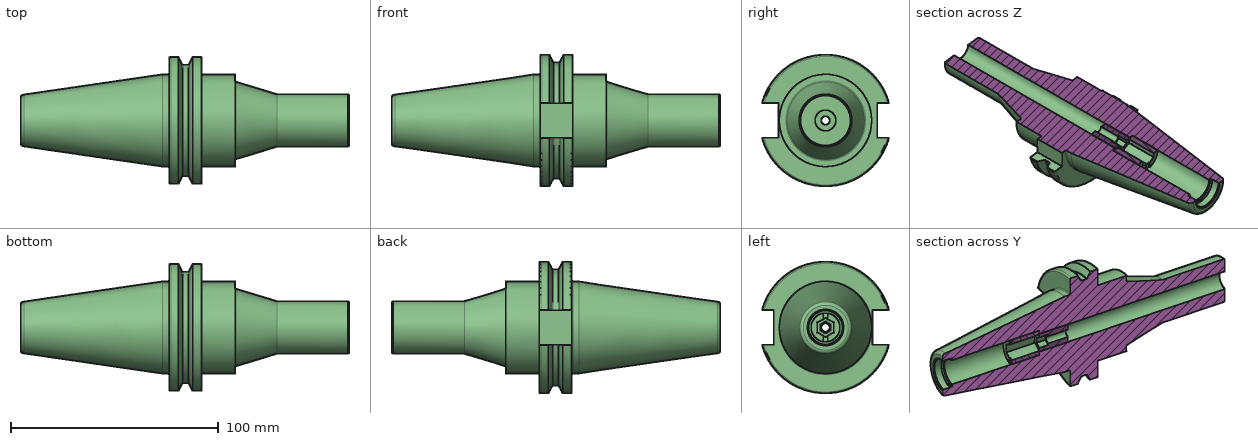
import cadquery as cq
import math


gauge_radius = 44.45 / 2
taper_length = 68.25
taper_on_diameter = 7 / 24
taper_end_radius = gauge_radius - taper_on_diameter * taper_length / 2
taper_end_fillet = 1.7

flange_radius = 63.5 / 2
flange_start = 3.175
flange_end = 19.05
flange_fillet = 0.8
neck_fillet = 0.4
groove_centre = (flange_start + flange_end) / 2
groove_bottom_radius = 56.25 / 2
groove_bottom_width = 3.16
groove_top_width = 6.86
groove_root_fillet = 0.4

slot_width = 16.6
slot_edge_chamfer = 0.3
slot_floor_front = 22.7
slot_floor_back = 25.0

collar_end = 35.0
cone_start_radius = 18.8
cone_root_fillet = 0.5
cone_end = 55.0
nose_radius = 25.4 / 2
nose_end = 90.0
nose_chamfer = 0.7

mouth_radius = 17.5 / 2
pilot_radius = 16.5 / 2
pilot_depth = 4.2
step_radius = 16.28 / 2
step_depth = 5.3
thread_radius = 13.9 / 2

lock_radius = thread_radius
lock_start = -30.0
lock_length = 16.0
lock_hex = 8.0
lock_slot_width = 2.4
lock_slot_depth = 0.5

stop_radius = 10.0 / 2
stop_length = 16.0
stop_hex = 5.0
stop_hex_depth = 5.0
coolant_radius = 4.0 / 2

lock_end = lock_start + lock_length
stop_start = lock_end
stop_end = stop_start + stop_length

edge_match_tolerance = 0.001


def revolve_about_x(profile):
    return profile.close().revolve(360, (0, 0, 0), (1, 0, 0))


def bore(start, end, radius):
    return cq.Workplane("YZ", origin=(start, 0, 0)).circle(radius).extrude(end - start)


def hex_socket(start, depth, across_flats):
    corner_diameter = across_flats / math.cos(math.radians(30))
    plane = cq.Workplane("YZ", origin=(start, 0, 0))
    return plane.transformed(rotate=(0, 0, 90)).polygon(6, corner_diameter).extrude(depth)


def round_ring(solid, x, radius, fillet_radius):
    """Fillet the circular edge of the given radius that lies at x."""

    def is_ring(edge):
        same_place = math.isclose(edge.Center().x, x, abs_tol=edge_match_tolerance)
        return same_place and math.isclose(edge.radius(), radius, abs_tol=edge_match_tolerance)

    return solid.edges("%CIRCLE").filter(is_ring).fillet(fillet_radius)


def holder_blank():
    half_bottom = groove_bottom_width / 2
    half_top = groove_top_width / 2
    outline = (
        cq.Workplane("XY")
        .moveTo(-taper_length, 0)
        .lineTo(-taper_length, taper_end_radius)
        .lineTo(0, gauge_radius)
        .lineTo(flange_start, gauge_radius)
        .lineTo(flange_start, flange_radius)
        .lineTo(groove_centre - half_top, flange_radius)
        .lineTo(groove_centre - half_bottom, groove_bottom_radius)
        .lineTo(groove_centre + half_bottom, groove_bottom_radius)
        .lineTo(groove_centre + half_top, flange_radius)
        .lineTo(flange_end, flange_radius)
        .lineTo(flange_end, gauge_radius)
        .lineTo(collar_end, gauge_radius)
        .lineTo(collar_end, cone_start_radius)
        .lineTo(cone_end, nose_radius)
        .lineTo(nose_end - nose_chamfer, nose_radius)
        .lineTo(nose_end, nose_radius - nose_chamfer)
        .lineTo(nose_end, 0)
    )
    blank = revolve_about_x(outline)
    blank = round_ring(blank, -taper_length, taper_end_radius, taper_end_fillet)
    blank = round_ring(blank, flange_start, gauge_radius, neck_fillet)
    blank = round_ring(blank, flange_start, flange_radius, flange_fillet)
    blank = round_ring(blank, flange_end, flange_radius, flange_fillet)
    for side in (-1, 1):
        blank = round_ring(blank, groove_centre + side * half_bottom, groove_bottom_radius, groove_root_fillet)
    return round_ring(blank, collar_end, cone_start_radius, cone_root_fillet)


def drive_slot(side, floor):
    """Slot across the flange on one Y side, its walls chamfered at the rim."""
    half_width = slot_width / 2
    chamfer_y = math.sqrt(flange_radius**2 - (half_width + slot_edge_chamfer) ** 2) - slot_edge_chamfer
    mouth_half_width = half_width + flange_radius - chamfer_y
    outline = (
        cq.Workplane("YZ", origin=(flange_start, 0, 0))
        .moveTo(side * floor, -half_width)
        .lineTo(side * chamfer_y, -half_width)
        .lineTo(side * flange_radius, -mouth_half_width)
        .lineTo(side * flange_radius, mouth_half_width)
        .lineTo(side * chamfer_y, half_width)
        .lineTo(side * floor, half_width)
        .close()
    )
    return outline.extrude(flange_end - flange_start)


def driver_slot():
    """Screwdriver slot along Z across the outer face of the lock screw."""
    plane = cq.Workplane("YZ", origin=(lock_start, 0, 0))
    return plane.rect(lock_slot_width, 2 * lock_radius).extrude(lock_slot_depth)


def knob_bore():
    mouth_chamfer = mouth_radius - pilot_radius
    pilot_end = -taper_length + pilot_depth
    step_end = -taper_length + step_depth
    outline = (
        cq.Workplane("XY")
        .moveTo(-taper_length, 0)
        .lineTo(-taper_length, mouth_radius)
        .lineTo(-taper_length + mouth_chamfer, pilot_radius)
        .lineTo(pilot_end, pilot_radius)
        .lineTo(pilot_end, step_radius)
        .lineTo(step_end, step_radius)
        .lineTo(step_end, thread_radius)
        .lineTo(lock_start, thread_radius)
        .lineTo(lock_start, 0)
    )
    return revolve_about_x(outline)


holder = (
    holder_blank()
    .cut(drive_slot(-1, slot_floor_front))
    .cut(drive_slot(1, slot_floor_back))
    .cut(knob_bore())
    .cut(bore(lock_start, lock_end, lock_radius))
    .cut(bore(stop_start, nose_end, stop_radius))
)

lock_screw = (
    bore(lock_start, lock_end, lock_radius)
    .cut(hex_socket(lock_start, lock_length, lock_hex))
    .cut(driver_slot())
)

stop_screw = (
    bore(stop_start, stop_end, stop_radius)
    .cut(hex_socket(stop_start, stop_hex_depth, stop_hex))
    .cut(bore(stop_start, stop_end, coolant_radius))
)

result = cq.Compound.makeCompound([holder.val(), lock_screw.val(), stop_screw.val()])